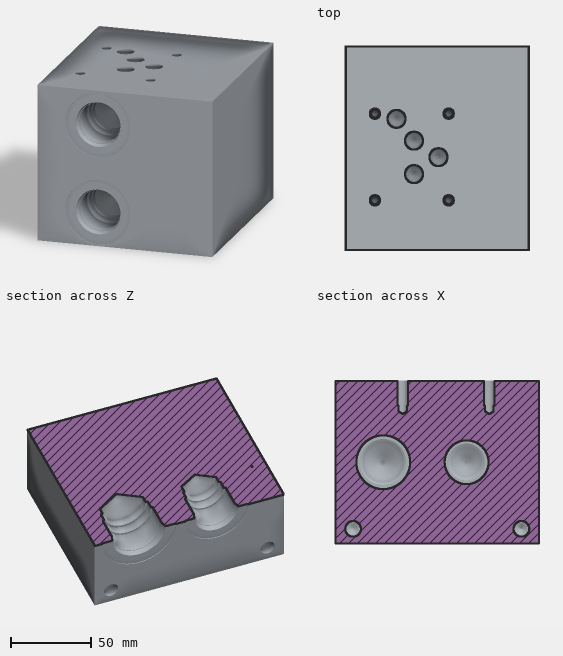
import cadquery as cq
import math

LENGTH_X = 114.3
LENGTH_Y = 127.0
LENGTH_Z = 101.6
LEFT_FACE = -LENGTH_X / 2
FRONT_FACE = -LENGTH_Y / 2
TOP_FACE = LENGTH_Z / 2
BOTTOM_FACE = -LENGTH_Z / 2

DRILL_POINT_ANGLE = 118.0

SPOTFACE_DEPTH = 0.5
SEAT_DEPTH = 3.3
SEAT_HALF_ANGLE = 15.0
PORT_THREAD_DEPTH = 19.5
PORT_MINOR_DEPTH = 25.4
PORT_DRILL_DEPTH = 30.5
SMALL_PORT = {"spotface": 42.0, "seat_end": 27.4, "thread": 27.0, "minor": 24.9, "drill": 23.0}
LARGE_PORT = {"spotface": 49.1, "seat_end": 33.8, "thread": 33.3, "minor": 31.2, "drill": 28.6}

FRONT_PORT_X = -17.5
FRONT_PORT_RISE = 28.6

TANK_PORT_Y = 33.7
PRESSURE_PORT_Y = -18.3

VALVE_X = -15.9
VALVE_Y = -5.5
BOLT_PITCH_X = 46.0
BOLT_PITCH_Y = 54.0
BOLT_THREAD_DIAMETER = 6.4
BOLT_DRILL_DIAMETER = 5.1
BOLT_THREAD_DEPTH = 15.2
BOLT_DRILL_DEPTH = 19.0
PASSAGE_DIAMETER = 11.2
PASSAGE_DEPTH = 3.0
PASSAGE_POINTS = [(-25.4, 18.3), (-14.5, 4.7), (0.8, -5.6), (-14.5, -16.1)]

MOUNT_HALF_PITCH = 52.5
MOUNT_HEIGHT = 9.3
MOUNT_THREAD_DIAMETER = 9.5
MOUNT_DRILL_DIAMETER = 7.9
MOUNT_THREAD_DEPTH = 19.0
MOUNT_DRILL_DEPTH = 24.1


def point_height(diameter):
    """Height of the conical bottom left by a drill."""
    return diameter / 2 / math.tan(math.radians(DRILL_POINT_ANGLE / 2))


def turned_cutter(profile):
    """Revolve (radius, depth) points into a cutter that reaches down from the XY plane."""
    points = [(0, 0)] + [(radius, -depth) for radius, depth in profile]
    return cq.Workplane("XZ").polyline(points).close().revolve(360, (0, 0), (0, 1))


def drill_cutter(diameter, depth):
    radius = diameter / 2
    return turned_cutter([(radius, 0), (radius, depth), (0, depth + point_height(diameter))])


def tapped_cutter(thread, thread_depth, drill, drill_depth):
    return turned_cutter([
        (thread / 2, 0),
        (thread / 2, thread_depth),
        (drill / 2, thread_depth),
        (drill / 2, drill_depth),
        (0, drill_depth + point_height(drill)),
    ])


def port_cutter(port):
    seat_end_radius = port["seat_end"] / 2
    seat_radius = seat_end_radius + SEAT_DEPTH * math.tan(math.radians(SEAT_HALF_ANGLE))
    seat_end_depth = SPOTFACE_DEPTH + SEAT_DEPTH
    return turned_cutter([
        (port["spotface"] / 2, 0),
        (port["spotface"] / 2, SPOTFACE_DEPTH),
        (seat_radius, SPOTFACE_DEPTH),
        (seat_end_radius, seat_end_depth),
        (port["thread"] / 2, seat_end_depth),
        (port["thread"] / 2, PORT_THREAD_DEPTH),
        (port["minor"] / 2, PORT_THREAD_DEPTH),
        (port["minor"] / 2, PORT_MINOR_DEPTH),
        (port["drill"] / 2, PORT_MINOR_DEPTH),
        (port["drill"] / 2, PORT_DRILL_DEPTH),
        (0, PORT_DRILL_DEPTH + point_height(port["drill"])),
    ])


def on_front(cutter, x, z):
    return cutter.rotate((0, 0, 0), (1, 0, 0), 90).translate((x, FRONT_FACE, z))


def on_left(cutter, y, z):
    return cutter.rotate((0, 0, 0), (0, 1, 0), -90).translate((LEFT_FACE, y, z))


def on_top(cutter, x, y):
    return cutter.translate((x, y, TOP_FACE))


result = cq.Workplane("XY").box(LENGTH_X, LENGTH_Y, LENGTH_Z)

for z in (-FRONT_PORT_RISE, FRONT_PORT_RISE):
    result = result.cut(on_front(port_cutter(SMALL_PORT), FRONT_PORT_X, z))

result = result.cut(on_left(port_cutter(LARGE_PORT), TANK_PORT_Y, 0))
result = result.cut(on_left(port_cutter(SMALL_PORT), PRESSURE_PORT_Y, 0))

bolt_cutter = tapped_cutter(
    BOLT_THREAD_DIAMETER, BOLT_THREAD_DEPTH, BOLT_DRILL_DIAMETER, BOLT_DRILL_DEPTH
)
for side_x in (-1, 1):
    for side_y in (-1, 1):
        bolt_x = VALVE_X + side_x * BOLT_PITCH_X / 2
        bolt_y = VALVE_Y + side_y * BOLT_PITCH_Y / 2
        result = result.cut(on_top(bolt_cutter, bolt_x, bolt_y))

passage_cutter = drill_cutter(PASSAGE_DIAMETER, PASSAGE_DEPTH)
for x, y in PASSAGE_POINTS:
    result = result.cut(on_top(passage_cutter, x, y))

mount_cutter = tapped_cutter(
    MOUNT_THREAD_DIAMETER, MOUNT_THREAD_DEPTH, MOUNT_DRILL_DIAMETER, MOUNT_DRILL_DEPTH
)
for y in (-MOUNT_HALF_PITCH, MOUNT_HALF_PITCH):
    result = result.cut(on_left(mount_cutter, y, BOTTOM_FACE + MOUNT_HEIGHT))